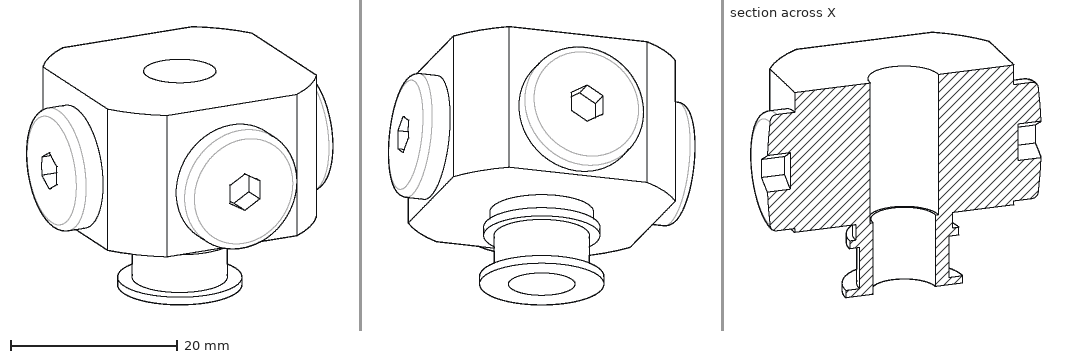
import cadquery as cq

block_width = 28.1
block_height = 17.98
corner_diameter = 33.1

neck_diameter = 12.5
neck_length = 1.93
collar_diameter = 14.0
collar_thickness = 1.05
shank_diameter = 11.5
flange_diameter = 15.0
flange_thickness = 1.0
total_height = 27.2
stem_length = total_height - block_height

upper_bore_diameter = 8.7
lower_bore_diameter = 8.0

overall_width = 35.12
plug_diameter = 15.0
plug_axis_depth = 10.0
plug_edge_radius = 0.88
plug_dome_height = 0.4
socket_rim_drop = 0.05
socket_across_flats = 4.0
socket_depth = 3.0

dome_tip = overall_width / 2 + socket_rim_drop
plug_axis_z = block_height - plug_axis_depth


def cylinder(diameter, bottom, height):
    return cq.Workplane("XY").workplane(offset=bottom).circle(diameter / 2).extrude(height)


def make_block():
    prism = cq.Workplane("XY").rect(block_width, block_width).extrude(block_height)
    return prism.intersect(cylinder(corner_diameter, 0, block_height))


def make_stem():
    stem = cylinder(shank_diameter, -stem_length, stem_length)
    stem = stem.union(cylinder(neck_diameter, -neck_length, neck_length))
    stem = stem.union(cylinder(collar_diameter, -neck_length - collar_thickness, collar_thickness))
    return stem.union(cylinder(flange_diameter, -stem_length, flange_thickness))


def make_plug():
    """Domed plug head on the +X side, with a rounded rim."""
    radius = plug_diameter / 2
    face_radius = radius - plug_edge_radius
    shoulder = dome_tip - plug_dome_height
    dome_radius = (face_radius**2 + plug_dome_height**2) / (2 * plug_dome_height)
    mid_radius = face_radius / 2
    mid_x = dome_tip - dome_radius + (dome_radius**2 - mid_radius**2) ** 0.5
    profile = (
        cq.Workplane("XY")
        .moveTo(block_width / 2, 0)
        .lineTo(block_width / 2, radius)
        .lineTo(shoulder - plug_edge_radius, radius)
        .radiusArc((shoulder, face_radius), plug_edge_radius)
        .threePointArc((mid_x, mid_radius), (dome_tip, 0))
        .close()
    )
    head = profile.revolve(360, (0, 0, 0), (1, 0, 0))
    return head.translate((0, 0, plug_axis_z))


def make_socket():
    """Hexagonal socket on the +X side, with corners at top and bottom."""
    across_corners = socket_across_flats * 2 / 3**0.5
    return (
        cq.Workplane("YZ", origin=(dome_tip - socket_depth, 0, plug_axis_z))
        .transformed(rotate=(0, 0, 90))
        .polygon(6, across_corners)
        .extrude(socket_depth)
    )


result = make_block().union(make_stem())

plug = make_plug().cut(make_socket())
for side in range(4):
    result = result.union(plug.rotate((0, 0, 0), (0, 0, 1), 90 * side))

result = result.cut(cylinder(upper_bore_diameter, 0, block_height))
result = result.cut(cylinder(lower_bore_diameter, -stem_length, stem_length))